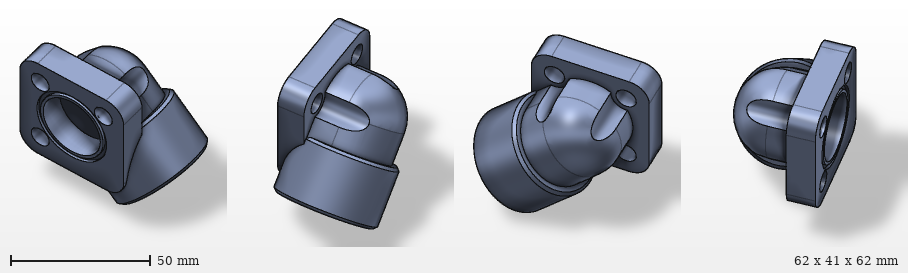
import cadquery as cq
import math

flange_side = 46.45
flange_thickness = 11.0
flange_corner_radius = 7.95

bolt_circle_radius = 20.0
bolt_hole_diameter = 8.0
bolt_relief_radius = 5.95

bore_radius = 12.8
bore_depth = 10.0
groove_inner_radius = 14.0
groove_outer_radius = 15.55
groove_depth = 1.2

body_radius = 16.8
axis_depth = 20.95

collar_radius = 20.0
collar_start = 12.4
collar_end = 36.05
collar_chamfer = 1.2

bolt_offset = bolt_circle_radius / math.sqrt(2)
bolt_positions = [
    (-bolt_offset, bolt_offset),
    (bolt_offset, bolt_offset),
    (-bolt_offset, -bolt_offset),
]
dome_center = cq.Vector(0, axis_depth, 0)
outlet_direction = cq.Vector(1, 0, -1).normalized()


def plane_at_depth(depth):
    """Plane facing +Y whose local axes are X to the right and -Z up."""
    return cq.Plane(origin=(0, depth, 0), xDir=(1, 0, 0), normal=(0, 1, 0))


def cylinders_at_bolts(start, length, radius):
    """Cylinders along +Y on the three bolt axes."""
    points = [(x, -z) for x, z in bolt_positions]
    return cq.Workplane(plane_at_depth(start)).pushPoints(points).circle(radius).extrude(length)


def make_flange():
    plate = cq.Workplane(plane_at_depth(0)).rect(flange_side, flange_side).extrude(flange_thickness)
    return plate.edges("|Y").fillet(flange_corner_radius)


def make_elbow():
    stem = cq.Workplane(plane_at_depth(0)).circle(body_radius).extrude(axis_depth)
    dome = cq.Workplane("XY").sphere(body_radius).translate(dome_center)
    neck = cq.Workplane(cq.Plane(origin=dome_center, xDir=(0, 1, 0), normal=outlet_direction))
    wall_length = axis_depth - flange_thickness
    neck = (
        neck.moveTo(-wall_length, -body_radius)
        .lineTo(0, -body_radius)
        .threePointArc((body_radius, 0), (0, body_radius))
        .lineTo(-wall_length, body_radius)
        .close()
        .extrude(collar_start + collar_chamfer)
    )
    return stem.union(dome).union(neck)


def make_collar():
    origin = dome_center + outlet_direction * collar_start
    collar = cq.Workplane(cq.Plane(origin=origin, xDir=(0, 1, 0), normal=outlet_direction))
    collar = collar.circle(collar_radius).extrude(collar_end - collar_start)
    return collar.edges("%CIRCLE").chamfer(collar_chamfer)


def make_inlet_cut():
    bore = cq.Workplane(plane_at_depth(0)).circle(bore_radius).extrude(bore_depth)
    groove = cq.Workplane(plane_at_depth(0)).circle(groove_outer_radius).circle(groove_inner_radius)
    return bore.union(groove.extrude(groove_depth))


relief_length = axis_depth + body_radius - flange_thickness
reliefs = cylinders_at_bolts(flange_thickness, relief_length, bolt_relief_radius)
elbow = make_elbow().cut(reliefs)

result = make_flange().union(elbow).union(make_collar())
result = result.cut(cylinders_at_bolts(0, flange_thickness, bolt_hole_diameter / 2))
result = result.cut(make_inlet_cut())